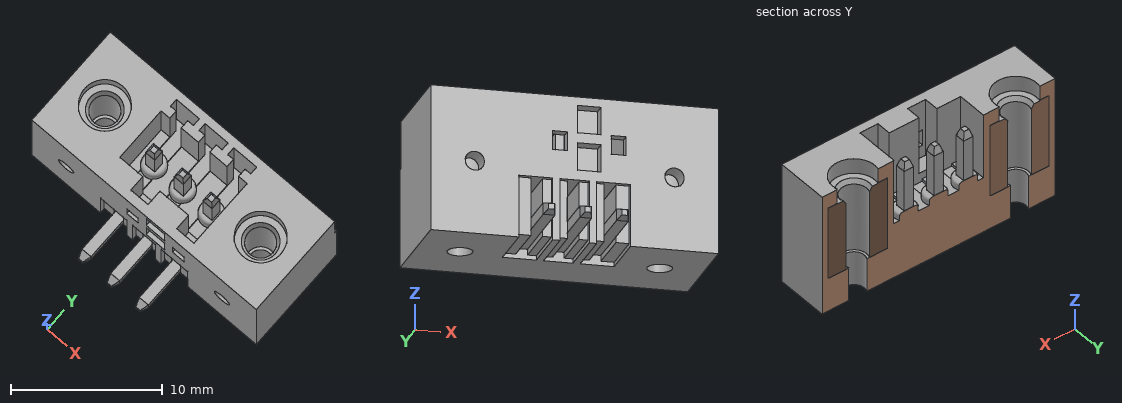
import cadquery as cq


length = 19.6
height = 10.1
depth = 8.1
back_step = 0.2
back_step_z = 6.85

pin_count = 3
pin_pitch = 2.5
pin_x = [(i - (pin_count - 1) / 2) * pin_pitch for i in range(pin_count)]
axis_y = 3.9

pin_size = 0.8
pin_tip_size = 0.4
pin_tip_length = 0.6
pin_reach = 3.5
pin_leg_z = 1.1
pin_top_z = 9.3

pocket_length = 7.5
pocket_front_y = 1.9
pocket_back_y = 6.05
pocket_floor_z = 4.7
channel_width = 1.0
channel_floor_z = 4.5
channel_back_y = 6.7
tee_depth = 0.6
tee_width = 2.0
boss_diameter = 1.8
boss_height = 0.8
boss_fillet = 0.25

notch_x = [-1.0, 3.0]
notch_width = 1.5
notch_front_y = 0.7
notch_floor_z = 5.3
window_width = 1.0
window_bottom_z = 6.3
window_height = 1.3

blind_x = 1.0
blind_width = 1.6
blind_depth = 0.95
blind_height = 1.9
blind_bottoms_z = [5.0, 7.6]

recess_height = 4.3
recess_depth = 0.35
recess_inner_half = 1.0
recess_outer_half = 1.3
recess_undercut_height = 0.3
recess_back_y = axis_y + pin_size / 2

flange_x = [-6.8, 6.8]
flange_hole_diameter = 3.5
insert_diameter = 5.0
insert_bore = 2.11
insert_mouth_diameter = 2.55
insert_mouth_depth = 0.35
insert_top_z = height - 1.25
insert_length = 6.0
insert_bottom_z = insert_top_z - insert_length
screw_hole_diameter = 1.7
cross_hole_diameter = 1.3
cross_hole_z = height / 2


def block(x_range, y_range, z_range):
    """Box between the given limits along each axis."""
    sizes = [end - start for start, end in (x_range, y_range, z_range)]
    corner = (x_range[0], y_range[0], z_range[0])
    return cq.Workplane("XY").box(*sizes, centered=False).translate(corner)


def centred(middle, width):
    """Limits of a span of the given width about its middle."""
    return (middle - width / 2, middle + width / 2)


def rod(diameter, x, z_range):
    """Upright cylinder on the common axis line."""
    bottom, top = z_range
    return cq.Workplane("XY", origin=(x, axis_y, bottom)).circle(diameter / 2).extrude(top - bottom)


def pin_tip(plane):
    """Square taper growing out of the given plane."""
    return (
        cq.Workplane(plane)
        .rect(pin_size, pin_size)
        .workplane(offset=pin_tip_length)
        .rect(pin_tip_size, pin_tip_size)
        .loft(combine=True)
    )


def make_pin(x):
    """Square wire bent into an L, tapered at both ends."""
    shaft_end_z = pin_top_z - pin_tip_length
    leg_end_y = pin_tip_length - pin_reach
    x_range = centred(x, pin_size)
    leg_bottom_z, leg_top_z = centred(pin_leg_z, pin_size)
    shaft = block(x_range, centred(axis_y, pin_size), (leg_bottom_z, shaft_end_z))
    leg = block(x_range, (leg_end_y, axis_y), (leg_bottom_z, leg_top_z))
    upper_tip = pin_tip(cq.Plane((x, axis_y, shaft_end_z), (1, 0, 0), (0, 0, 1)))
    lower_tip = pin_tip(cq.Plane((x, leg_end_y, pin_leg_z), (1, 0, 0), (0, -1, 0)))
    return shaft.union(leg).union(upper_tip).union(lower_tip)


def make_insert(x):
    """Sleeve with a conical mouth."""
    sleeve = rod(insert_diameter, x, (insert_bottom_z, insert_top_z))
    bore = rod(insert_bore, x, (insert_bottom_z, insert_top_z))
    mouth = (
        cq.Workplane("XY", origin=(x, axis_y, insert_top_z - insert_mouth_depth))
        .circle(insert_bore / 2)
        .workplane(offset=insert_mouth_depth)
        .circle(insert_mouth_diameter / 2)
        .loft(combine=True)
    )
    return sleeve.cut(bore).cut(mouth)


def housing_body():
    body = block(centred(0, length), (0, depth), (0, height))
    step = block(centred(0, length), (depth - back_step, depth), (back_step_z, height))
    return body.cut(step)


def cut_plug_pocket(body):
    """Pocket with coding notches and, behind every pin, a T-shaped slot."""
    body = body.cut(
        block(centred(0, pocket_length), (pocket_front_y, pocket_back_y), (pocket_floor_z, height))
    )
    for x in notch_x:
        body = body.cut(
            block(centred(x, notch_width), (notch_front_y, pocket_front_y), (notch_floor_z, height))
        )
        window_z = (window_bottom_z, window_bottom_z + window_height)
        body = body.cut(block(centred(x, window_width), (0, notch_front_y), window_z))
    for x in pin_x:
        z_range = (channel_floor_z, height)
        channel = block(centred(x, channel_width), (pocket_front_y, channel_back_y), z_range)
        tee = block(centred(x, tee_width), (channel_back_y, channel_back_y + tee_depth), z_range)
        body = body.cut(channel).cut(tee)
    return body


def add_bosses(body):
    """Rounded collar around every pin on the pocket floor."""
    for x in pin_x:
        boss = rod(boss_diameter, x, (channel_floor_z, channel_floor_z + boss_height))
        body = body.union(boss.faces(">Z").edges().fillet(boss_fillet))
    return body


def cut_blind_pockets(body):
    for z in blind_bottoms_z:
        body = body.cut(block(centred(blind_x, blind_width), (0, blind_depth), (z, z + blind_height)))
    return body


def cut_leg_recesses(body):
    """Shallow recess, deeper pin groove and low undercut for each solder leg."""
    for x in pin_x:
        left = recess_outer_half if x == pin_x[0] else recess_inner_half
        right = recess_outer_half if x == pin_x[-1] else recess_inner_half
        x_range = (x - left, x + right)
        recess = block(x_range, (0, recess_depth), (0, recess_height))
        groove = block(centred(x, pin_size), (0, recess_back_y), (0, recess_height))
        undercut = block(x_range, (0, recess_back_y), (0, recess_undercut_height))
        body = body.cut(recess).cut(groove).cut(undercut)
    return body


def cut_flange_holes(body):
    """Insert seat with an opening above, a screw hole below and a cross hole from the front."""
    for x in flange_x:
        body = body.cut(rod(insert_diameter, x, (insert_bottom_z, insert_top_z)))
        body = body.cut(rod(flange_hole_diameter, x, (insert_top_z, height)))
        body = body.cut(rod(screw_hole_diameter, x, (0, insert_bottom_z)))
        front = cq.Workplane("XZ", origin=(x, 0, cross_hole_z))
        body = body.cut(front.circle(cross_hole_diameter / 2).extrude(-axis_y))
    return body


pins = [make_pin(x) for x in pin_x]
inserts = [make_insert(x) for x in flange_x]

housing = housing_body()
housing = cut_plug_pocket(housing)
housing = add_bosses(housing)
housing = cut_blind_pockets(housing)
housing = cut_leg_recesses(housing)
housing = cut_flange_holes(housing)
for pin in pins:
    housing = housing.cut(pin)

result = cq.Compound.makeCompound(
    [housing.val(), *[pin.val() for pin in pins], *[insert.val() for insert in inserts]]
)